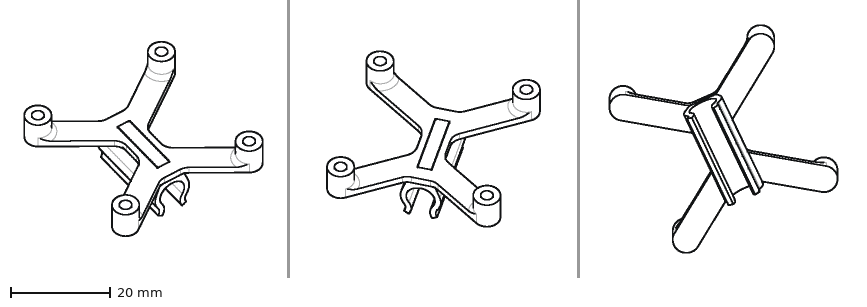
import cadquery as cq
import math

overall_size = 36.02
post_diameter = 5.5
post_height = 6.3
hole_diameter = 2.52
plate_thickness = 1.62
hub_length = 20.0
hub_width = 6.0
arm_angle = 55.0
corner_radius = 3.0
post_fillet = 1.0

tongue_length = 13.98
tongue_width = 2.85
slot_width = 3.05
clip_length = hub_length
clip_root_half_width = hub_width / 2
bore_radius = 3.0
clip_wall = 1.22
bore_depth = 4.15
mouth_half_width = 1.95
lip_radius = 1.9
clip_depth = 9.25

post_radius = post_diameter / 2
post_offset = overall_size / 2 - post_radius
arm_direction = math.radians(arm_angle)
post_centers = [(sx * post_offset, sy * post_offset) for sx in (-1, 1) for sy in (-1, 1)]


def hub_with_arms():
    """Plate outline, with arms as wide as the posts and tangent to them."""
    edge_x = post_radius * math.sin(arm_direction)
    edge_y = post_radius * math.cos(arm_direction)
    slope = math.tan(arm_direction)
    outer_tip = (post_offset + edge_x, post_offset - edge_y)
    inner_tip = (post_offset - edge_x, post_offset + edge_y)
    side_corner = (hub_length / 2, outer_tip[1] - slope * (outer_tip[0] - hub_length / 2))
    end_corner = (inner_tip[0] - (inner_tip[1] - hub_width / 2) / slope, hub_width / 2)

    quarter = [side_corner, outer_tip, inner_tip, end_corner]
    left_quarter = [(-x, y) for x, y in reversed(quarter)]
    half = quarter + left_quarter
    outline = half + [(-x, -y) for x, y in half]
    plate = cq.Workplane("XY").polyline(outline).close().extrude(plate_thickness)

    half_reach = hub_length / 2 + 0.35
    hub_box = cq.selectors.BoxSelector(
        (-half_reach, -half_reach, -0.35), (half_reach, half_reach, plate_thickness + 0.35)
    )
    return plate.edges("|Z").edges(hub_box).fillet(corner_radius)


def post_foot():
    """Flared ring at one post, trimmed to the sides of its arm."""
    foot_radius = post_radius + post_fillet
    fillet_middle = post_fillet * (1 - math.sqrt(0.5))
    flare = (
        cq.Workplane("XZ")
        .lineTo(foot_radius, 0)
        .lineTo(foot_radius, plate_thickness)
        .threePointArc(
            (post_radius + fillet_middle, plate_thickness + fillet_middle),
            (post_radius, plate_thickness + post_fillet),
        )
        .lineTo(0, plate_thickness + post_fillet)
        .close()
        .revolve(360, (0, 0, 0), (0, 1, 0))
    )
    arm_strip = (
        cq.Workplane("XY")
        .rect(foot_radius, post_diameter)
        .extrude(post_height)
        .translate((-foot_radius / 2, 0, 0))
        .rotate((0, 0, 0), (0, 0, 1), arm_angle)
    )
    return flare.intersect(arm_strip)


def block_through_plate(width):
    """Block as long as the tongue and as high as the plate, for the slot and the tongue."""
    return cq.Workplane("XY").rect(tongue_length, width).extrude(plate_thickness)


def make_frame():
    frame = hub_with_arms()
    posts = cq.Workplane("XY").pushPoints(post_centers).circle(post_radius).extrude(post_height)
    frame = frame.union(posts)
    foot = post_foot().translate((post_offset, post_offset, 0))
    for foot_copy in (foot, foot.mirror("YZ"), foot.mirror("XZ"), foot.mirror("YZ").mirror("XZ")):
        frame = frame.union(foot_copy)
    holes = (
        cq.Workplane("XY", origin=(0, 0, plate_thickness))
        .pushPoints(post_centers)
        .circle(hole_diameter / 2)
        .extrude(post_height - plate_thickness)
    )
    return frame.cut(holes).cut(block_through_plate(slot_width))


def point_on_circle(center, radius, angle):
    return (center[0] + radius * math.cos(angle), center[1] + radius * math.sin(angle))


def opposite(point):
    """The matching point on the other jaw."""
    return (-point[0], point[1])


def make_clip():
    outer_radius = bore_radius + clip_wall
    bore_center = (0, -bore_depth)

    root_distance = math.hypot(clip_root_half_width, bore_depth)
    root_angle = math.atan2(bore_depth, clip_root_half_width)
    flank_angle = root_angle - math.acos(outer_radius / root_distance)

    inner_lip_radius = lip_radius + clip_wall
    lip_x = mouth_half_width + inner_lip_radius
    lip_drop = math.sqrt((outer_radius + lip_radius) ** 2 - lip_x**2)
    lip_center = (lip_x, -bore_depth - lip_drop)
    join_angle = -math.atan2(lip_drop, lip_x)
    lip_start = math.pi + join_angle
    tip_angle = math.pi + math.asin((clip_depth + lip_center[1]) / inner_lip_radius)
    lip_middle = (lip_start + tip_angle) / 2

    flank = point_on_circle(bore_center, outer_radius, flank_angle)
    outer_middle = point_on_circle(bore_center, outer_radius, (flank_angle + join_angle) / 2)
    outer_join = point_on_circle(bore_center, outer_radius, join_angle)
    outer_lip = point_on_circle(lip_center, lip_radius, lip_middle)
    outer_tip = point_on_circle(lip_center, lip_radius, tip_angle)
    inner_tip = point_on_circle(lip_center, inner_lip_radius, tip_angle)
    inner_lip = point_on_circle(lip_center, inner_lip_radius, lip_middle)
    inner_join = point_on_circle(lip_center, inner_lip_radius, lip_start)
    bore_top = (0, bore_radius - bore_depth)

    body = (
        cq.Workplane("YZ", origin=(-clip_length / 2, 0, 0))
        .moveTo(clip_root_half_width, 0)
        .lineTo(*flank)
        .threePointArc(outer_middle, outer_join)
        .threePointArc(outer_lip, outer_tip)
        .lineTo(*inner_tip)
        .threePointArc(inner_lip, inner_join)
        .threePointArc(bore_top, opposite(inner_join))
        .threePointArc(opposite(inner_lip), opposite(inner_tip))
        .lineTo(*opposite(outer_tip))
        .threePointArc(opposite(outer_lip), opposite(outer_join))
        .threePointArc(opposite(outer_middle), opposite(flank))
        .lineTo(-clip_root_half_width, 0)
        .close()
        .extrude(clip_length)
    )
    return body.union(block_through_plate(tongue_width), clean=False)


frame = make_frame()
clip = make_clip()
result = cq.Compound.makeCompound([frame.solids().val(), clip.solids().val()])